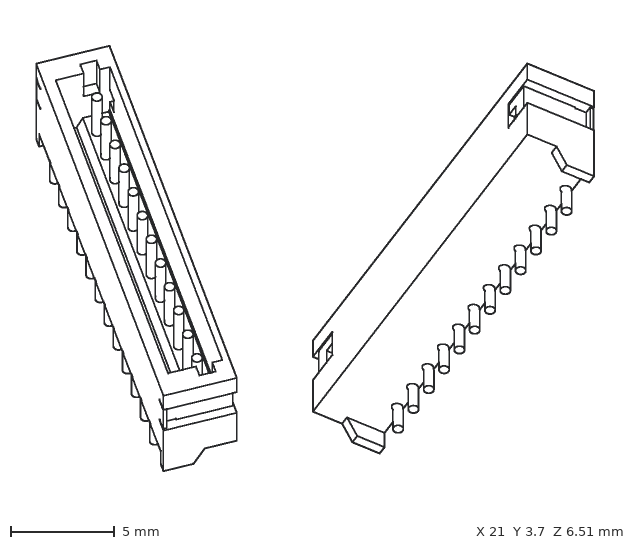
import cadquery as cq


length = 21.0
depth = 3.7
height = 5.0
half_length = length / 2

end_wall = 1.24
front_wall = 0.6
back_wall = 0.35
cavity_half = half_length - end_wall
cavity_back = depth - back_wall
floor_front_z = 0.85
floor_back_z = 1.47
floor_slope_front = 1.65
floor_slope_back = 1.97
back_foot = 0.06
back_foot_height = 0.1

key_front = 2.02
key_back = 2.84
key_end_wall = 0.67
key_floor_z = height - 1.83

foot_thickness = 0.48
foot_drop = 1.0
foot_flat = 1.51
foot_top = 2.08

groove_top_z = height - 1.13
groove_bottom_z = height - 2.77
groove_depth = 0.46
groove_back_relief = 0.06
tab_thickness = 0.19
tab_setback = 0.06
slit_height = 0.06
slit_depth = 0.67
slit_reach = 0.78

window_width = 0.65

pin_count = 12
pin_pitch = 1.5
pin_diameter = 0.5
pin_tip_z = -1.51
pin_top_z = height - 0.74
pin_contact_y = 2.37
pin_tail_y = pin_diameter / 2
tail_bend_radius = 0.5
tail_bend_end_z = -0.19
pin_run_z = tail_bend_end_z + tail_bend_radius


def block(x0, x1, y0, y1, z0, z1):
    """Box between two opposite corners."""
    return cq.Workplane("XY").box(x1 - x0, y1 - y0, z1 - z0, centered=False).translate((x0, y0, z0))


def at_both_ends(shape):
    """A shape at the -X end together with its mirror image at the +X end."""
    return shape.union(shape.mirror("YZ"))


def cavity():
    profile = [
        (front_wall, height),
        (front_wall, floor_front_z),
        (floor_slope_front, floor_front_z),
        (floor_slope_back, floor_back_z),
        (cavity_back - back_foot, floor_back_z),
        (cavity_back - back_foot, floor_back_z + back_foot_height),
        (cavity_back, floor_back_z + back_foot_height),
        (cavity_back, height),
    ]
    return cq.Workplane("YZ").polyline(profile).close().extrude(cavity_half, both=True)


def key_slot():
    return block(-half_length + key_end_wall, -cavity_half, key_front, key_back, key_floor_z, height)


def foot():
    profile = [(0, 0), (0, -foot_drop), (foot_flat, -foot_drop), (foot_top, 0)]
    plate = cq.Workplane("YZ").polyline(profile).close().extrude(foot_thickness)
    return plate.translate((-half_length, 0, 0))


def groove():
    """End groove with its front tab, the slits along the tab and the back-corner recess."""
    end = -half_length
    slit_end = end + slit_depth
    cut = block(end, end + groove_depth, tab_thickness, depth, groove_bottom_z, groove_top_z)
    cut = cut.union(block(end, end + tab_setback, 0, tab_thickness, groove_bottom_z, groove_top_z))
    for slit_z in (groove_bottom_z, groove_top_z - slit_height):
        cut = cut.union(block(end, slit_end, 0, slit_reach, slit_z, slit_z + slit_height))
    relief_end = -cavity_half + window_width
    relief_front = depth - groove_back_relief
    return cut.union(block(end, relief_end, relief_front, depth, groove_bottom_z, groove_top_z))


def window():
    return block(-cavity_half, -cavity_half + window_width, cavity_back, depth, groove_bottom_z, key_floor_z)


def pin():
    """Contact post, horizontal run inside the housing and a tail bent down at the front."""
    run_and_tail = (
        cq.Workplane("YZ")
        .moveTo(pin_tail_y, pin_tip_z)
        .lineTo(pin_tail_y, tail_bend_end_z)
        .radiusArc((pin_tail_y + tail_bend_radius, pin_run_z), tail_bend_radius)
        .lineTo(pin_contact_y, pin_run_z)
    )
    section = cq.Workplane("XY", origin=(0, pin_tail_y, pin_tip_z)).circle(pin_diameter / 2)
    post = cq.Workplane("XY", origin=(0, pin_contact_y, pin_run_z)).circle(pin_diameter / 2)
    return section.sweep(run_and_tail).union(post.extrude(pin_top_z - pin_run_z))


result = block(-half_length, half_length, 0, depth, 0, height)
result = result.union(at_both_ends(foot()))
result = result.cut(cavity())
for end_feature in (key_slot(), groove(), window()):
    result = result.cut(at_both_ends(end_feature))

single_pin = pin()
for index in range(pin_count):
    pin_x = (index - (pin_count - 1) / 2) * pin_pitch
    result = result.union(single_pin.translate((pin_x, 0, 0)))